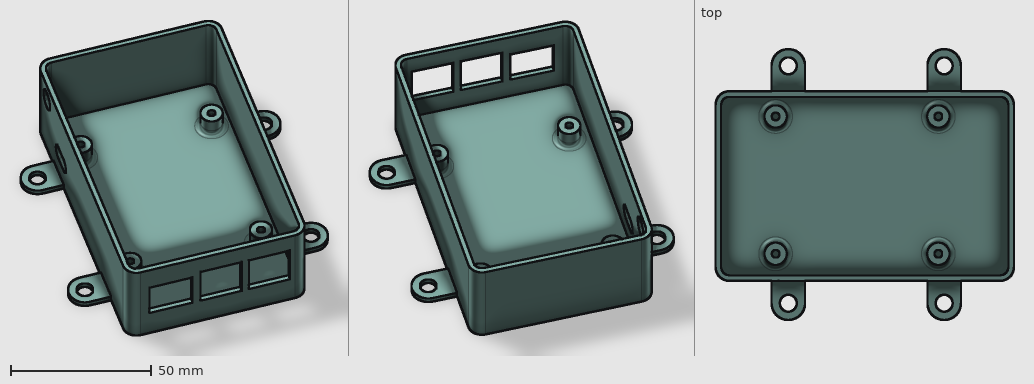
import cadquery as cq


length = 106.4
width = 67.7
height = 34.0
wall = 2.0
corner_radius = 5.0

overall_width = 96.6
tab_width = 12.0
tab_thickness = wall
tab_hole_diameter = 6.0
tab_spacing = 55.5
tab_center_x = 0.5
tab_center_y = 0.5

post_diameter = 8.0
post_hole_diameter = 2.8
post_top = 9.0
post_fillet = 2.0
post_spacing_x = 58.0
post_spacing_y = 49.0
post_center_x = -2.8
post_center_y = 0.3

round_opening_diameter = 7.8
round_opening_x = -41.2
round_opening_z = 26.3
slot_length = 12.0
slot_height = 6.0
slot_x = -24.7
slot_z = 12.3

window_bottom = 10.9
tall_window_width = 15.4
tall_window_height = 15.5
tall_window_centers_y = (19.4, 1.3)
low_window_width = 16.2
low_window_height = 13.6
low_window_center_y = -17.5


def make_box():
    outer = cq.Workplane("XY").box(length, width, height, centered=(True, True, False))
    outer = outer.edges("|Z").fillet(corner_radius)
    cavity = (
        cq.Workplane("XY", origin=(0, 0, wall))
        .rect(length - 2 * wall, width - 2 * wall)
        .extrude(height - wall)
        .edges("|Z")
        .fillet(corner_radius - wall)
    )
    return outer.cut(cavity)


def make_tab_pair(x):
    """One ear on each long side, built as a flat strip running under the floor."""
    hole_distance = overall_width - tab_width
    strip = (
        cq.Workplane("XY", origin=(x, tab_center_y, 0))
        .slot2D(overall_width, tab_width, angle=90)
        .extrude(tab_thickness)
    )
    holes = (
        cq.Workplane("XY", origin=(x, tab_center_y, 0))
        .rarray(1.1, hole_distance, 1, 2)
        .circle(tab_hole_diameter / 2)
        .extrude(tab_thickness)
    )
    return strip.cut(holes)


def make_post(x, y):
    """Hollow post standing on the floor, with a concave flare around its foot."""
    radius = post_diameter / 2
    bore_radius = post_hole_diameter / 2
    foot_radius = radius + post_fillet
    flare_top = wall + post_fillet
    return (
        cq.Workplane("XZ")
        .moveTo(bore_radius, wall)
        .lineTo(foot_radius, wall)
        .radiusArc((radius, flare_top), post_fillet)
        .lineTo(radius, post_top)
        .lineTo(bore_radius, post_top)
        .close()
        .revolve(360, (0, 0, 0), (0, 1, 0))
        .translate((x, y, 0))
    )


def make_front_openings():
    """Cutters for the round opening and the slot through the -Y wall."""
    front = cq.Workplane("XZ", origin=(0, -width / 2 + wall, 0))
    round_opening = (
        front.center(round_opening_x, round_opening_z)
        .circle(round_opening_diameter / 2)
        .extrude(wall)
    )
    slot = front.center(slot_x, slot_z).slot2D(slot_length, slot_height).extrude(wall)
    return round_opening.union(slot)


def make_window(center_y, window_width, window_height):
    """Cutter for one rectangular window through the +X wall."""
    return cq.Workplane("XY").box(wall, window_width, window_height).translate(
        (length / 2 - wall / 2, center_y, window_bottom + window_height / 2)
    )


result = make_box()

for side in (-1, 1):
    result = result.union(make_tab_pair(tab_center_x + side * tab_spacing / 2))

for side_x in (-1, 1):
    for side_y in (-1, 1):
        post_x = post_center_x + side_x * post_spacing_x / 2
        post_y = post_center_y + side_y * post_spacing_y / 2
        result = result.union(make_post(post_x, post_y))

result = result.cut(make_front_openings())

for tall_window_y in tall_window_centers_y:
    result = result.cut(make_window(tall_window_y, tall_window_width, tall_window_height))
result = result.cut(make_window(low_window_center_y, low_window_width, low_window_height))